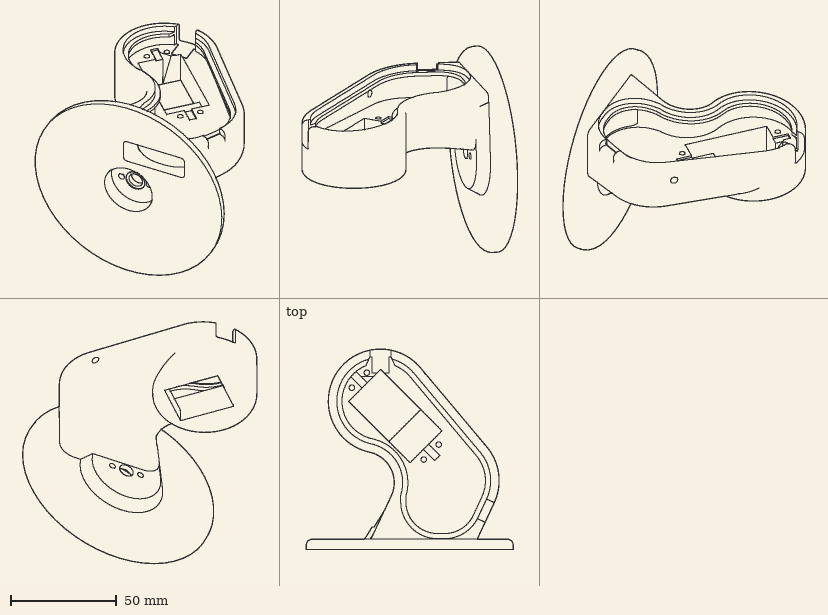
import cadquery as cq
import math

disc_diameter = 98.0
disc_thickness = 5.0
disc_edge_radius = 3.0

hub_base_radius = 21.4
hub_end = 10.8
flank_end = 20.5
hub_taper = 32.0
flank_lean = 5.5
flank_top = 30.0
hub_counterbore_diameter = 25.0
hub_counterbore_depth = 7.5
shaft_seat_diameter = 9.8
shaft_seat_depth = 0.5
shaft_hole_diameter = 7.0
hub_screw_diameter = 3.0
hub_screw_offset = 7.25

head_center = (-13.8, 70.1)
head_radius = 24.66
elbow_center = (17.65, 32.6)
inner_bend_radius = 14.65
inner_bend_direction = -102.0
neck_lean = 25.0

neck_bottom = 4.0
neck_bottom_radius = 6.8
head_bottom_radius = 2.0
rim_tip_height = 26.45
top_slope = 4.9
rim_radius = 2.3

floor_height = 16.0
wall_thickness = 4.05
ledge_width = 6.5
lid_depth = 3.0
ledge_thickness = 1.8
chamber_left = -8.3
chamber_bottom = 1.1
chamber_corner_radius = 21.5

servo_angle = -45.0
servo_offset = 9.95
servo_length = 41.0
servo_width = 21.3
servo_window_length = 26.8
servo_seat_height = 7.0
servo_screw_diameter = 2.6
servo_screw_spacing = (48.0, 10.0)
servo_screw_depth = 8.0
wire_channel_length = 56.0
wire_channel_width = 3.5
wire_channel_depth = 1.0
wire_ramp_top = 81.7

exit_width = 10.0
exit_floor_width = 8.0
exit_floor = 15.7
exit_wall_end = 91.0
exit_floor_end = 83.3
exit_relief_flare = 2.0
exit_relief_overlap = 1.7
rim_gap_length = 10.2
rim_gap_depth = 3.4
rim_gap_edge_radius = 1.9
slot_left, slot_right = -2.6, 29.4
slot_bottom, slot_top = 17.0, 28.7
slot_depth = 15.0
slot_corner_radius = 2.0
side_hole_diameter = 3.5
side_hole_height = 22.3
side_hole_from_elbow = 3.5

TALL = 60.0
CLEARANCE = 0.5
head_tip = head_center[1] + head_radius


def on_circle(center, radius, angle):
    """Point on a circle at an angle in degrees from the X axis."""
    a = math.radians(angle)
    return (center[0] + radius * math.cos(a), center[1] + radius * math.sin(a))


def down_line(point, lean, y):
    """Point at height y on the line through `point` that leans from the Y axis."""
    return (point[0] + (y - point[1]) * math.tan(math.radians(lean)), y)


inner_bend_center = on_circle(head_center, head_radius + inner_bend_radius, inner_bend_direction)
edge_angle = 90 + math.degrees(
    math.atan2(elbow_center[1] - head_center[1], elbow_center[0] - head_center[0])
)
edge_start = on_circle(head_center, head_radius, edge_angle)
edge_end = on_circle(elbow_center, head_radius, edge_angle)
elbow_end = on_circle(elbow_center, head_radius, -neck_lean)
bend_start = on_circle(head_center, head_radius, inner_bend_direction)
bend_middle = on_circle(inner_bend_center, inner_bend_radius, (180 + inner_bend_direction - neck_lean) / 2)
bend_end = on_circle(inner_bend_center, inner_bend_radius, -neck_lean)


def head_and_elbow():
    """Open outline from the inner bend round the head to the end of the elbow."""
    return (
        cq.Workplane("XY")
        .moveTo(*bend_start)
        .threePointArc(on_circle(head_center, head_radius, 180), edge_start)
        .lineTo(*edge_end)
        .threePointArc(on_circle(elbow_center, head_radius, 0), elbow_end)
    )


def arm_outline():
    """Closed outline of the whole arm, down to the front face of the disc."""
    return (
        head_and_elbow()
        .lineTo(*down_line(elbow_end, neck_lean, 0))
        .lineTo(*down_line(bend_end, neck_lean, 0))
        .lineTo(*bend_end)
        .threePointArc(bend_middle, bend_start)
        .close()
    )


def chamber_prism(inset):
    """Tall prism of the chamber outline, moved in by `inset`, standing on Z = 0."""
    radius = chamber_corner_radius
    center_y = chamber_bottom + radius
    left_center = (chamber_left + radius, center_y)
    right_x = down_line(elbow_end, neck_lean, center_y)[0]
    right_center = (right_x - radius / math.cos(math.radians(neck_lean)), center_y)
    leave_angle = -math.degrees(math.acos((chamber_left - inner_bend_center[0]) / inner_bend_radius))
    return (
        head_and_elbow()
        .lineTo(*on_circle(right_center, radius, -neck_lean))
        .threePointArc(on_circle(right_center, radius, -(90 + neck_lean) / 2), (right_center[0], chamber_bottom))
        .lineTo(left_center[0], chamber_bottom)
        .threePointArc(on_circle(left_center, radius, -135), (chamber_left, center_y))
        .lineTo(*on_circle(inner_bend_center, inner_bend_radius, leave_angle))
        .threePointArc(bend_middle, bend_start)
        .close()
        .offset2D(-inset)
        .extrude(TALL)
    )


def above_top_plane(drop):
    """Big block above the sloped top plane lowered by `drop`."""
    size = 4 * TALL
    return (
        cq.Workplane("XY")
        .box(size, size, size, centered=(True, True, False))
        .rotate((0, 0, 0), (1, 0, 0), -top_slope)
        .translate((0, head_tip, rim_tip_height - drop))
    )


def make_disc():
    return (
        cq.Workplane("XZ")
        .circle(disc_diameter / 2)
        .extrude(-disc_thickness)
        .faces(">Y")
        .edges()
        .fillet(disc_edge_radius)
    )


beyond_disc_face = cq.selectors.BoxSelector((-TALL, CLEARANCE, -TALL), (TALL, 2 * TALL, TALL))


def neck_side():
    """Block on the elbow side of the chord across the head, where the neck leaves it."""
    chord_x, chord_y = edge_start[0] - bend_start[0], edge_start[1] - bend_start[1]
    chord_angle = math.degrees(math.atan2(chord_y, chord_x))
    return (
        cq.Workplane("XY")
        .box(4 * TALL, 4 * TALL, 2 * TALL)
        .translate((0, -2 * TALL, 0))
        .rotate((0, 0, 0), (0, 0, 1), chord_angle)
        .translate((*bend_start, 0))
    )


def make_arm():
    above_top = above_top_plane(0)
    neck = arm_outline().extrude(TALL).translate((0, 0, neck_bottom))
    neck = neck.faces("<Z").edges(beyond_disc_face).fillet(neck_bottom_radius)
    neck = neck.cut(above_top).intersect(neck_side())
    head = cq.Workplane("XY").center(*head_center).circle(head_radius).extrude(TALL).cut(above_top)
    head = head.faces("<Z").edges().fillet(head_bottom_radius)
    arm = neck.union(head)
    return arm.faces(">Z").edges(beyond_disc_face).fillet(rim_radius)


def tapered_hub(end):
    """Tapered teardrop: round below, with straight flanks leaning together above."""
    left = on_circle((0, 0), hub_base_radius, 180 - flank_lean)
    right = on_circle((0, 0), hub_base_radius, flank_lean)
    top_x = right[0] - (flank_top - right[1]) * math.tan(math.radians(flank_lean))
    plane = cq.Plane(origin=(0, disc_thickness, 0), xDir=(-1, 0, 0), normal=(0, 1, 0))
    return (
        cq.Workplane(plane)
        .moveTo(*left)
        .threePointArc((0, -hub_base_radius), right)
        .lineTo(top_x, flank_top)
        .lineTo(-top_x, flank_top)
        .close()
        .extrude(end - disc_thickness, taper=hub_taper)
    )


def make_hub():
    flank = tapered_hub(flank_end)
    below_neck = cq.Workplane("XY").box(4 * TALL, 4 * TALL, TALL)
    below_neck = below_neck.translate((0, 0, neck_bottom - TALL / 2))
    flank = flank.cut(below_neck)
    bottom_left = cq.selectors.BoxSelector(
        (-TALL, disc_thickness + CLEARANCE, neck_bottom - CLEARANCE),
        (-CLEARANCE, flank_end - CLEARANCE, neck_bottom + CLEARANCE),
    )
    flank = flank.edges(bottom_left).fillet(neck_bottom_radius)
    return tapered_hub(hub_end).union(flank)


def y_cylinder(x, diameter, length):
    """Cylinder along Y from the front face of the disc."""
    return cq.Workplane("XZ").center(x, 0).circle(diameter / 2).extrude(-length)


def hub_holes():
    seat_end = hub_counterbore_depth + shaft_seat_depth
    holes = y_cylinder(0, hub_counterbore_diameter, hub_counterbore_depth)
    holes = holes.union(y_cylinder(0, shaft_seat_diameter, seat_end))
    holes = holes.union(y_cylinder(0, shaft_hole_diameter, hub_end))
    for side in (-1, 1):
        holes = holes.union(y_cylinder(side * hub_screw_offset, hub_screw_diameter, hub_end))
    return holes


def exit_relief():
    """Flared prism that trims the ledge beside the cable exit."""
    inner_y = head_tip - ledge_width - exit_relief_overlap
    x = head_center[0]
    half = exit_width / 2
    return (
        cq.Workplane("XY")
        .polyline([
            (x - half, exit_wall_end),
            (x + half, exit_wall_end),
            (x + half + exit_relief_flare, inner_y),
            (x - half - exit_relief_flare, inner_y),
        ])
        .close()
        .extrude(TALL)
        .translate((0, 0, floor_height))
    )


def make_chamber():
    lid_seat = chamber_prism(wall_thickness).intersect(above_top_plane(lid_depth))
    opening = chamber_prism(ledge_width).translate((0, 0, floor_height))
    room = chamber_prism(wall_thickness).translate((0, 0, floor_height))
    room = room.cut(above_top_plane(lid_depth + ledge_thickness))
    return lid_seat.union(opening).union(room).union(exit_relief())


def servo_frame(height):
    """Workplane on the servo centre with its x axis along the servo body."""
    center = on_circle(head_center, servo_offset, servo_angle)
    a = math.radians(servo_angle)
    along_body = (math.cos(a), math.sin(a), 0)
    return cq.Workplane(cq.Plane(origin=(*center, height), xDir=along_body, normal=(0, 0, 1)))


def servo_cuts():
    cuts = servo_frame(servo_seat_height).rect(servo_length, servo_width).extrude(TALL)
    window_shift = (servo_window_length - servo_length) / 2
    window = servo_frame(-CLEARANCE).center(window_shift, 0).rect(servo_window_length, servo_width).extrude(TALL)
    channel = (
        servo_frame(floor_height - wire_channel_depth)
        .rect(wire_channel_length, wire_channel_width)
        .extrude(wire_channel_depth + CLEARANCE)
    )
    screws = (
        servo_frame(floor_height - servo_screw_depth)
        .rect(*servo_screw_spacing, forConstruction=True)
        .vertices()
        .circle(servo_screw_diameter / 2)
        .extrude(servo_screw_depth + CLEARANCE)
    )
    return cuts.union(window).union(channel).union(screws)


def wire_ramp():
    """Steep ramp down from the chamber floor into the servo opening."""
    a = math.radians(servo_angle)
    along = servo_offset - servo_length / 2
    across = wire_channel_width / 2
    corner_x = head_center[0] + along * math.cos(a) - across * math.sin(a)
    corner_y = head_center[1] + along * math.sin(a) + across * math.cos(a)
    rise = wire_ramp_top - corner_y
    base = [(corner_x - rise, wire_ramp_top), (corner_x + rise, wire_ramp_top), (corner_x, corner_y)]
    prism = cq.Workplane("XY").polyline(base).close().extrude(TALL)
    wedge = (
        cq.Workplane("YZ")
        .polyline([
            (wire_ramp_top, floor_height),
            (corner_y, 0),
            (corner_y, floor_height),
        ])
        .close()
        .extrude(TALL, both=True)
    )
    return prism.intersect(wedge)


def cable_exit():
    x = head_center[0]
    outer_y = head_tip + CLEARANCE
    wall_cut = (
        cq.Workplane("XY")
        .box(exit_width, outer_y - exit_wall_end, TALL, centered=(True, False, False))
        .translate((x, exit_wall_end, exit_floor))
        .edges("|Y and <Z")
        .fillet((exit_width - exit_floor_width) / 2)
    )
    floor_cut = (
        cq.Workplane("XY")
        .box(exit_floor_width, outer_y - exit_floor_end, TALL, centered=(True, False, False))
        .translate((x, exit_floor_end, exit_floor))
    )
    return wall_cut.union(floor_cut)


def rim_gap():
    """Gap in the rim just below the elbow; its floor has a rounded outer edge."""
    block = (
        cq.Workplane("XY")
        .box(2 * wall_thickness, rim_gap_length, TALL, centered=(True, False, False))
        .translate((0, -rim_gap_length, 0))
        .rotate((0, 0, 0), (0, 0, 1), -neck_lean)
        .translate((*elbow_end, 0))
    )
    lowered_arm = arm_outline().extrude(TALL).cut(above_top_plane(rim_gap_depth))
    lowered_arm = lowered_arm.faces(">Z").edges(beyond_disc_face).fillet(rim_gap_edge_radius)
    return block.cut(lowered_arm)


def cable_slot():
    return (
        cq.Workplane("XZ")
        .center((slot_left + slot_right) / 2, (slot_bottom + slot_top) / 2)
        .rect(slot_right - slot_left, slot_top - slot_bottom)
        .extrude(-slot_depth)
        .edges("|Y")
        .fillet(slot_corner_radius)
    )


def side_hole():
    """Hole through the long straight wall, square to it."""
    edge_x, edge_y = edge_start[0] - edge_end[0], edge_start[1] - edge_end[1]
    share = side_hole_from_elbow / math.hypot(edge_x, edge_y)
    start = (edge_end[0] + share * edge_x, edge_end[1] + share * edge_y, side_hole_height)
    plane = cq.Plane(origin=start, xDir=(edge_x, edge_y, 0), normal=(edge_y, -edge_x, 0))
    return cq.Workplane(plane).circle(side_hole_diameter / 2).extrude(2 * wall_thickness, both=True)


result = make_disc().union(make_arm()).union(make_hub())
for cut in (hub_holes, make_chamber, servo_cuts, wire_ramp, cable_exit, rim_gap, cable_slot, side_hole):
    result = result.cut(cut())